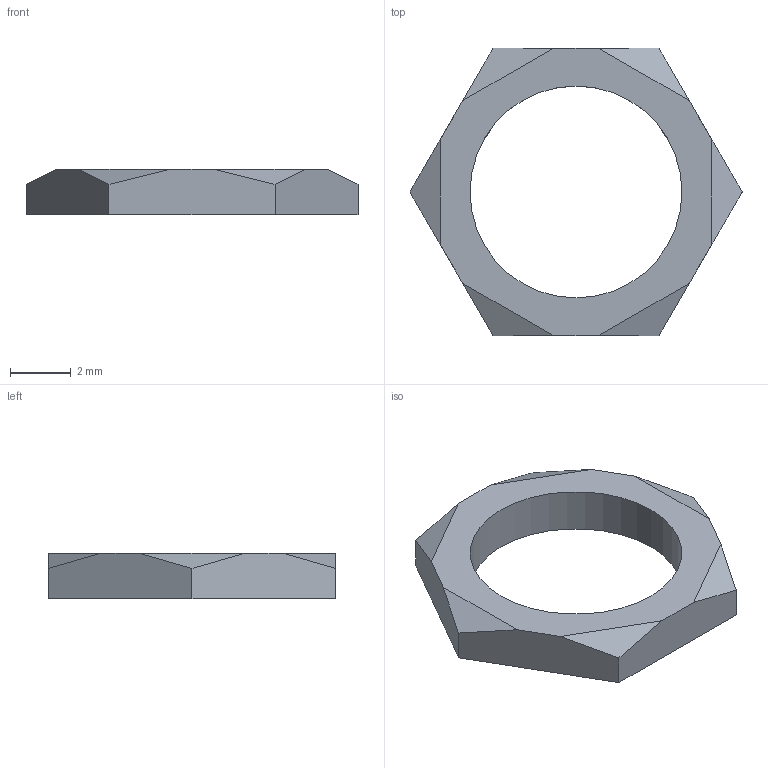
import cadquery as cq
import math

ACROSS_FLATS = 9.5
THICKNESS = 1.5
BORE_DIAMETER = 7.0
CORNER_CUT_LENGTH = 1.0
CORNER_CUT_DEPTH = 0.5

SIDES = 6
CORNER_ANGLE = 360 / SIDES
ACROSS_CORNERS = ACROSS_FLATS / math.cos(math.pi / SIDES)
CORNER_RADIUS = ACROSS_CORNERS / 2


def make_blank():
    """Hexagonal plate on the XY plane with two corners on the X axis."""
    return cq.Workplane("XY").polygon(SIDES, ACROSS_CORNERS).extrude(THICKNESS)


def make_bore():
    """Cylinder for the plain through hole."""
    return cq.Workplane("XY").circle(BORE_DIAMETER / 2).extrude(THICKNESS)


def make_corner_cutter():
    """Wedge that slopes the top of the +X corner with one flat face."""
    return (
        cq.Workplane("XZ")
        .moveTo(CORNER_RADIUS - CORNER_CUT_LENGTH, THICKNESS)
        .lineTo(CORNER_RADIUS, THICKNESS)
        .lineTo(CORNER_RADIUS, THICKNESS - CORNER_CUT_DEPTH)
        .close()
        .extrude(ACROSS_FLATS / 2, both=True)
    )


def cut_corners(nut):
    """Slope the top of every corner."""
    cutter = make_corner_cutter()
    for corner in range(SIDES):
        nut = nut.cut(cutter.rotate((0, 0, 0), (0, 0, 1), corner * CORNER_ANGLE))
    return nut


result = cut_corners(make_blank().cut(make_bore()))